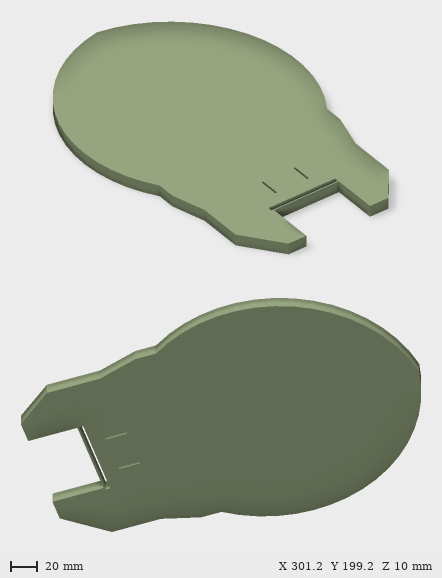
import cadquery as cq
import math


thickness = 10.0
length = 301.19
body_width = 199.2

body_half_width = body_width / 2
widest_x = 117.0
arc_radius = (widest_x**2 + body_half_width**2) / (2 * body_half_width)
arc_center_offset = arc_radius - body_half_width

upper_shoulder_y = 80.4
upper_shoulder_end_x = 198.0
upper_tail_y = 71.3
upper_tail_start_x = 229.4
upper_tail_end_x = 271.5
upper_prong_x = 299.7
upper_prong_y = 49.5

lower_shoulder_y = -78.8
lower_shoulder_end_x = 200.2
lower_tail_y = -70.4
lower_tail_start_x = 229.2
lower_tail_end_x = 268.2
lower_prong_x = length
lower_prong_y = -45.4

notch_floor_x = 260.6
notch_upper_y = 32.3
notch_lower_y = -28.6
strip_thickness = 1.0

cross_slot_width = 3.7
cross_slot_overrun = 1.8

narrow_slot_length = 17.2
narrow_slot_width = 1.8
narrow_slot_start_x = 226.8
narrow_slot_centers_y = (15.9, -14.1)


def shoulder_start_x(shoulder_y):
    """X where the body arc meets the straight shoulder at the given Y."""
    rise = abs(shoulder_y) + arc_center_offset
    return widest_x + math.sqrt(arc_radius**2 - rise**2)


def make_plate():
    """Extrude the outer outline, including the notch, upward from Z = 0."""
    return (
        cq.Workplane("XY")
        .moveTo(0, 0)
        .threePointArc(
            (widest_x, body_half_width),
            (shoulder_start_x(upper_shoulder_y), upper_shoulder_y),
        )
        .lineTo(upper_shoulder_end_x, upper_shoulder_y)
        .lineTo(upper_tail_start_x, upper_tail_y)
        .lineTo(upper_tail_end_x, upper_tail_y)
        .lineTo(upper_prong_x, upper_prong_y)
        .lineTo(upper_prong_x, notch_upper_y)
        .lineTo(notch_floor_x, notch_upper_y)
        .lineTo(notch_floor_x, notch_lower_y)
        .lineTo(lower_prong_x, notch_lower_y)
        .lineTo(lower_prong_x, lower_prong_y)
        .lineTo(lower_tail_end_x, lower_tail_y)
        .lineTo(lower_tail_start_x, lower_tail_y)
        .lineTo(lower_shoulder_end_x, lower_shoulder_y)
        .lineTo(shoulder_start_x(lower_shoulder_y), lower_shoulder_y)
        .threePointArc((widest_x, -body_half_width), (0, 0))
        .close()
        .extrude(thickness)
    )


def make_slot(start_x, start_y, size_x, size_y):
    """Through-cutting block with its lower left corner at the given point."""
    return (
        cq.Workplane("XY")
        .box(size_x, size_y, thickness, centered=False)
        .translate((start_x, start_y, 0))
    )


def make_cross_slot():
    start_x = notch_floor_x - strip_thickness - cross_slot_width
    start_y = notch_lower_y - cross_slot_overrun
    return make_slot(start_x, start_y, cross_slot_width, notch_upper_y - start_y)


result = make_plate().cut(make_cross_slot())
for center_y in narrow_slot_centers_y:
    slot_start_y = center_y - narrow_slot_width / 2
    result = result.cut(
        make_slot(narrow_slot_start_x, slot_start_y, narrow_slot_length, narrow_slot_width)
    )